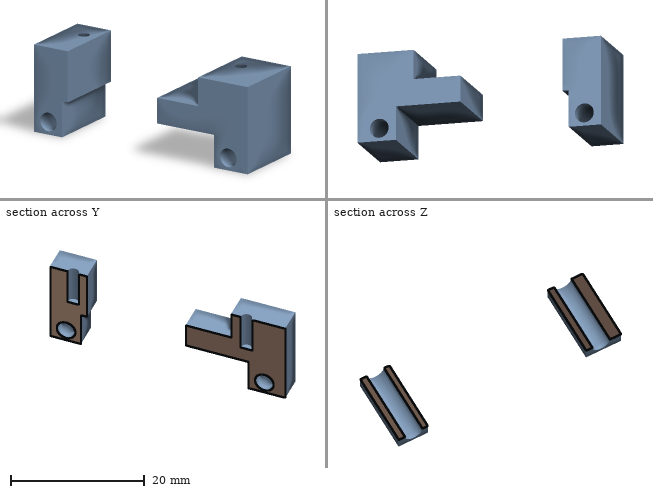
import cadquery as cq

TOTAL_LENGTH = 38.0
WIDTH = 12.0
HEIGHT = 13.7

BLOCK_LENGTH = 6.0
BLOCK_FOOT_LENGTH = 5.0
BLOCK_STEP_HEIGHT = 5.65
BLOCK_CROSS_X = 2.6
BLOCK_TOP_HOLE_X = 3.72

ARM_START_X = 21.93
HEAD_START_X = 29.22
LEG_LENGTH = 6.0
LEG_START_X = TOTAL_LENGTH - LEG_LENGTH
ARM_BOTTOM = 5.15
ARM_TOP = 9.2
BRACKET_CROSS_X = TOTAL_LENGTH - 3.42
BRACKET_TOP_HOLE_X = 31.7

CROSS_HOLE_DIAMETER = 2.93
CROSS_HOLE_Z = 1.98
TOP_HOLE_DIAMETER = 1.8
TOP_HOLE_Y = 8.0
TOP_HOLE_DEPTH = 6.0


def extrude_profile(points):
    """Close an XZ outline and extend it across the width toward +Y."""
    return cq.Workplane("XZ").polyline(points).close().extrude(-WIDTH)


def drill_cross_hole(body, x):
    """Cut the round hole that runs through the body along Y."""
    cutter = (
        cq.Workplane("XZ")
        .center(x, CROSS_HOLE_Z)
        .circle(CROSS_HOLE_DIAMETER / 2)
        .extrude(-WIDTH)
    )
    return body.cut(cutter)


def drill_top_hole(body, x):
    """Cut the blind vertical hole in the top face."""
    cutter = (
        cq.Workplane("XY", origin=(x, TOP_HOLE_Y, HEIGHT))
        .circle(TOP_HOLE_DIAMETER / 2)
        .extrude(-TOP_HOLE_DEPTH)
    )
    return body.cut(cutter)


def make_end_block():
    """Upright block with a narrower foot."""
    outline = [
        (0, 0),
        (BLOCK_FOOT_LENGTH, 0),
        (BLOCK_FOOT_LENGTH, BLOCK_STEP_HEIGHT),
        (BLOCK_LENGTH, BLOCK_STEP_HEIGHT),
        (BLOCK_LENGTH, HEIGHT),
        (0, HEIGHT),
    ]
    body = drill_cross_hole(extrude_profile(outline), BLOCK_CROSS_X)
    return drill_top_hole(body, BLOCK_TOP_HOLE_X)


def make_arm_bracket():
    """Upright bracket whose arm reaches toward the end block."""
    outline = [
        (LEG_START_X, 0),
        (TOTAL_LENGTH, 0),
        (TOTAL_LENGTH, HEIGHT),
        (HEAD_START_X, HEIGHT),
        (HEAD_START_X, ARM_TOP),
        (ARM_START_X, ARM_TOP),
        (ARM_START_X, ARM_BOTTOM),
        (LEG_START_X, ARM_BOTTOM),
    ]
    body = drill_cross_hole(extrude_profile(outline), BRACKET_CROSS_X)
    return drill_top_hole(body, BRACKET_TOP_HOLE_X)


end_block = make_end_block()
arm_bracket = make_arm_bracket()

result = cq.Compound.makeCompound([end_block.val(), arm_bracket.val()])